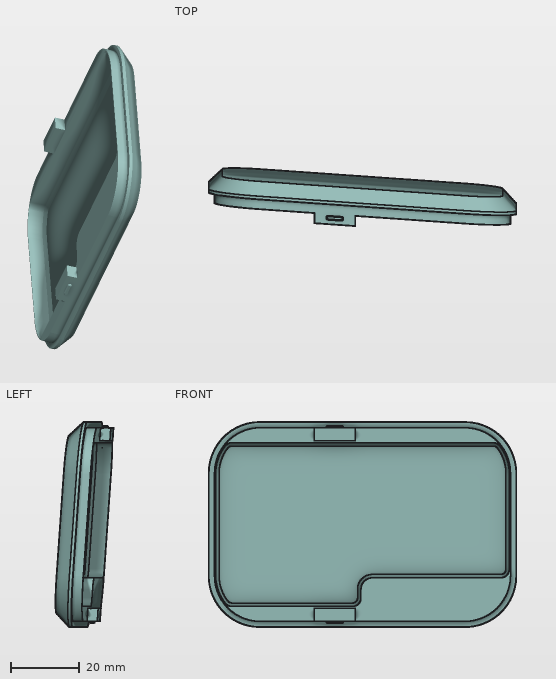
import cadquery as cq
import math

length = 90.0
height = 60.0
corner_radius = 15.0

tilt_angle = 4.0
tilt = math.tan(math.radians(tilt_angle))
tilt_normal = cq.Vector(tilt, 1, tilt)
tilt_x_axis = cq.Vector(1, -tilt, 0).normalized()

flange_face = 0.0
rim_thickness = 1.0
back_bevel = 4.05
back_face = flange_face + rim_thickness + back_bevel

lip_inset = 1.7
lip_height = 3.0
lip_face = flange_face - lip_height
lip_length = length - 2 * lip_inset
lip_depth = height - 2 * lip_inset
lip_radius = corner_radius - lip_inset

wall = 0.4
pocket_length = lip_length - 2 * wall
pocket_depth = lip_depth - 2 * wall
pocket_radius = lip_radius - wall
pocket_top = 23.9
pocket_bottom = -pocket_top
step_x = -0.45
step_z = -15.6
pocket_fillet = 2.5
step_fillet = 3.3
floor_face = 2.6
floor_bevel = 1.0

tab_center_x = -8.1
tab_length = 12.0
tab_thickness = 3.8
tab_height = 3.0
tab_face = lip_face - tab_height
bead_length = 5.0
bead_width = 1.3
bead_rise = 0.5
bead_offset = 1.1
bead_root = 0.45
bead_bevel = 0.3

reach = 2 * length
pick_size = 0.45


def tilted_slab(front, back):
    """Slab between two parallel tilted planes, placed by where they cross the Y axis."""
    plane = cq.Plane(origin=(0, front, 0), xDir=tilt_x_axis, normal=tilt_normal)
    return cq.Workplane(plane).rect(reach, reach).extrude((back - front) / tilt_normal.Length)


def bevel_back(body, size):
    """Chamfer the edges of the rearmost tilted face."""
    return body.faces(cq.selectors.DirectionMinMaxSelector(tilt_normal)).edges().chamfer(size)


def rounded_prism(size_x, size_z, radius):
    """Rounded rectangle running along Y."""
    prism = cq.Workplane("XZ").rect(size_x, size_z).extrude(reach / 2, both=True)
    return prism.edges("|Y").fillet(radius)


def block(center_x, center_z, size_x, size_z):
    """Rectangular bar running along Y."""
    section = cq.Workplane("XZ").center(center_x, center_z).rect(size_x, size_z)
    return section.extrude(reach / 2, both=True)


def round_corner(prism, x, z, radius):
    """Fillet the single edge along Y that passes through (x, z)."""
    corner = cq.selectors.BoxSelector(
        (x - pick_size, -pick_size, z - pick_size),
        (x + pick_size, pick_size, z + pick_size),
    )
    return prism.edges("|Y").edges(corner).fillet(radius)


def pocket_side_x(z):
    """X of the pocket's right side at height z, where z lies within the rounded corner."""
    rise = abs(z) - (pocket_depth / 2 - pocket_radius)
    return pocket_length / 2 - pocket_radius + math.sqrt(pocket_radius**2 - rise**2)


def make_plate():
    outline = rounded_prism(length, height, corner_radius)
    return bevel_back(outline.intersect(tilted_slab(flange_face, back_face)), back_bevel)


def make_lip():
    outline = rounded_prism(lip_length, lip_depth, lip_radius)
    return outline.intersect(tilted_slab(lip_face, flange_face))


def make_pocket():
    half_length = pocket_length / 2
    band = (
        cq.Workplane("XZ")
        .moveTo(-half_length, pocket_top)
        .lineTo(half_length, pocket_top)
        .lineTo(half_length, step_z)
        .lineTo(step_x, step_z)
        .lineTo(step_x, pocket_bottom)
        .lineTo(-half_length, pocket_bottom)
        .close()
        .extrude(reach / 2, both=True)
    )
    prism = band.intersect(rounded_prism(pocket_length, pocket_depth, pocket_radius))
    corner_x = pocket_side_x(pocket_top)
    corners = (
        (-corner_x, pocket_top, pocket_fillet),
        (corner_x, pocket_top, pocket_fillet),
        (-corner_x, pocket_bottom, pocket_fillet),
        (pocket_side_x(step_z), step_z, pocket_fillet),
        (step_x, pocket_bottom, pocket_fillet),
        (step_x, step_z, step_fillet),
    )
    for x, z, radius in corners:
        prism = round_corner(prism, x, z, radius)
    return bevel_back(prism.intersect(tilted_slab(tab_face, floor_face)), floor_bevel)


def make_bead(side, tab_edge):
    """Low slot-shaped bump along the tilted X direction, beveled on top and sunk into the tab."""
    center_y = lip_face - bead_offset - tilt * (tab_center_x + tab_edge)
    base = cq.Plane(
        origin=(tab_center_x, center_y, tab_edge - side * bead_root),
        xDir=tilt_x_axis,
        normal=(0, 0, side),
    )
    bump = cq.Workplane(base).slot2D(bead_length, bead_width).extrude(bead_root + bead_rise)
    return bump.faces(">Z" if side > 0 else "<Z").chamfer(bead_bevel)


def make_tab(side):
    """Tab with its bead; side is 1 for the upper edge and -1 for the lower edge."""
    tab_edge = side * lip_depth / 2
    center_z = tab_edge - side * tab_thickness / 2
    bar = block(tab_center_x, center_z, tab_length, tab_thickness)
    tab = bar.intersect(tilted_slab(tab_face, lip_face))
    return tab.union(make_bead(side, tab_edge))


result = make_plate().union(make_lip()).cut(make_pocket())
for tab_side in (1, -1):
    result = result.union(make_tab(tab_side))